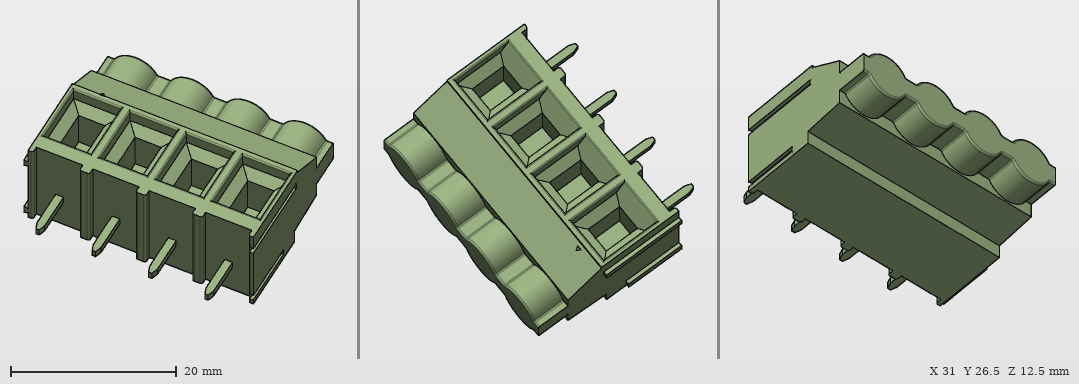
import cadquery as cq


TERMINALS = 4
OVERALL_LENGTH = 31.03
RIB_PROTRUSION = 0.55
BODY_LENGTH = OVERALL_LENGTH - RIB_PROTRUSION
PITCH = BODY_LENGTH / TERMINALS
OVERALL_DEPTH = 26.5
HEIGHT = 12.5

PIN_LENGTH = 5.03
PIN_WIDTH = 1.05
PIN_TIP_WIDTH = 0.45
PIN_TIP_LENGTH = 0.87
PIN_BOTTOM = 4.13
PIN_TOP = 5.1

BODY_DEPTH = OVERALL_DEPTH - PIN_LENGTH
SHOULDER_Y = 16.95
TOP_EDGE_Y = 11.82
TOP_STEP = 0.35
SHOULDER_TOP = 9.55
SHOULDER_BOTTOM = 2.48
HEEL_Y = 11.05
HEEL_TOP = 2.0

BARREL_RADIUS = 3.25
BARREL_Z = 6.05
WEB_HEIGHT = 2.95
WEB_FILLET = 0.25
REAR_FILLET = 0.25

FOOT_HEIGHT = 0.9
FOOT_WIDTH = 1.35
FOOT_FILLET = 0.3

THROAT_FRONT_Y = 2.82
THROAT_BACK_Y = 11.02
THROAT_WIDTH = 6.4
RIM_FILLET = 0.22
FUNNEL_TOP_DEPTH = 1.68
FUNNEL_BOTTOM_DEPTH = 2.48
WIRE_HOLE_FRONT_Y = 4.75
WIRE_HOLE_BACK_Y = 9.53
WIRE_HOLE_WIDTH = 3.55

DOVETAILS = [
    (9.93, 0.8, 1.05, 11.48),
    (1.18, 0.8, 1.18, 8.1),
]

MARK_WIDTH = 0.62
MARK_HEIGHT = 0.5
MARK_Y = 12.25
MARK_DEPTH = 0.1

SELECTION_MARGIN = 0.03


def box(x0, x1, y0, y1, z0, z1):
    """Axis-aligned box between two opposite corners."""
    block = cq.Workplane("XY").box(x1 - x0, y1 - y0, z1 - z0, centered=False)
    return block.translate((x0, y0, z0))


def make_housing():
    """Main body: the side profile swept along the row."""
    profile = [
        (0, 0),
        (HEEL_Y, 0),
        (HEEL_Y, HEEL_TOP),
        (SHOULDER_Y, SHOULDER_BOTTOM),
        (SHOULDER_Y, SHOULDER_TOP),
        (TOP_EDGE_Y, HEIGHT - TOP_STEP),
        (TOP_EDGE_Y, HEIGHT),
        (0, HEIGHT),
    ]
    return cq.Workplane("YZ").polyline(profile).close().extrude(BODY_LENGTH)


def make_barrels(centres):
    """Row of screw barrels and the web between them, rounded at the rear."""
    length = BODY_DEPTH - SHOULDER_Y
    web_bottom = BARREL_Z - WEB_HEIGHT / 2
    row = box(0, BODY_LENGTH, SHOULDER_Y, BODY_DEPTH, web_bottom, web_bottom + WEB_HEIGHT)
    for x in centres:
        barrel_base = cq.Workplane("XZ", origin=(x, SHOULDER_Y, BARREL_Z))
        barrel = barrel_base.circle(BARREL_RADIUS).extrude(-length)
        row = row.union(barrel)
    inner_edges = cq.selectors.BoxSelector(
        (SELECTION_MARGIN, 0, 0),
        (BODY_LENGTH - SELECTION_MARGIN, BODY_DEPTH, HEIGHT),
    )
    row = row.edges("|Y").edges(inner_edges).fillet(WEB_FILLET)
    return row.faces(">Y").edges("not |Z").fillet(REAR_FILLET)


def cut_foot_gap(body, x):
    """Recess the front face between two feet, rounding the feet's corners."""
    half_gap = (PITCH - FOOT_WIDTH) / 2
    r = FOOT_FILLET
    gap = (
        cq.Workplane("XY")
        .moveTo(x - half_gap - r, 0)
        .radiusArc((x - half_gap, r), -r)
        .lineTo(x - half_gap, FOOT_HEIGHT)
        .lineTo(x + half_gap, FOOT_HEIGHT)
        .lineTo(x + half_gap, r)
        .radiusArc((x + half_gap + r, 0), -r)
        .close()
        .extrude(HEIGHT)
    )
    return body.cut(gap)


def opening_layer(x, width, front_y, back_y, depth):
    """Rectangular cross-section of a wire opening, as a wire at a given depth."""
    z = HEIGHT - depth
    x0 = x - width / 2
    x1 = x + width / 2
    corners = [(x0, front_y, z), (x1, front_y, z), (x1, back_y, z), (x0, back_y, z)]
    return cq.Wire.makePolygon([cq.Vector(*c) for c in corners], close=True)


def make_opening(x):
    """Wire opening: straight throat, funnel and blind wire hole."""
    slope = (WIRE_HOLE_FRONT_Y - THROAT_FRONT_Y) / FUNNEL_BOTTOM_DEPTH
    funnel_front_y = THROAT_FRONT_Y + slope * FUNNEL_TOP_DEPTH
    hole = (WIRE_HOLE_WIDTH, WIRE_HOLE_FRONT_Y, WIRE_HOLE_BACK_Y)
    layers = [
        opening_layer(x, THROAT_WIDTH, THROAT_FRONT_Y, THROAT_BACK_Y, 0),
        opening_layer(x, THROAT_WIDTH, funnel_front_y, THROAT_BACK_Y, FUNNEL_TOP_DEPTH),
        opening_layer(x, *hole, FUNNEL_BOTTOM_DEPTH),
        opening_layer(x, *hole, HEIGHT - PIN_TOP),
    ]
    opening = cq.Workplane("XY")
    for upper, lower in zip(layers, layers[1:]):
        opening = opening.union(cq.Workplane(cq.Solid.makeLoft([upper, lower], True)))
    return opening


def round_rim(body, x):
    """Round the rim of a wire opening where it meets the top face."""
    margin = SELECTION_MARGIN
    rim = cq.selectors.BoxSelector(
        (x - THROAT_WIDTH / 2 - margin, THROAT_FRONT_Y - margin, HEIGHT - margin),
        (x + THROAT_WIDTH / 2 + margin, THROAT_BACK_Y + margin, HEIGHT + margin),
    )
    return body.edges(rim).fillet(RIM_FILLET)


def make_pin(x):
    """Solder pin with a tapered tip, its root sunk into the front face."""
    outline = [
        (x - PIN_WIDTH / 2, FOOT_HEIGHT),
        (x - PIN_WIDTH / 2, PIN_TIP_LENGTH - PIN_LENGTH),
        (x - PIN_TIP_WIDTH / 2, -PIN_LENGTH),
        (x + PIN_TIP_WIDTH / 2, -PIN_LENGTH),
        (x + PIN_WIDTH / 2, PIN_TIP_LENGTH - PIN_LENGTH),
        (x + PIN_WIDTH / 2, FOOT_HEIGHT),
    ]
    pin = cq.Workplane("XY").polyline(outline).close().extrude(PIN_TOP - PIN_BOTTOM)
    return pin.translate((0, 0, PIN_BOTTOM))


def make_dovetail(root_x, centre_z, root_width, tip_width, length):
    """Dovetail bar projecting to -X from the plane X = root_x."""
    tip_x = root_x - RIB_PROTRUSION
    section = [
        (root_x, centre_z - root_width / 2),
        (tip_x, centre_z - tip_width / 2),
        (tip_x, centre_z + tip_width / 2),
        (root_x, centre_z + root_width / 2),
    ]
    return cq.Workplane("XZ").polyline(section).close().extrude(-length)


def make_mark(x):
    """Triangular prism, half sunk into the sloping top, that engraves the mark."""
    fall = (HEIGHT - TOP_STEP - SHOULDER_TOP) / (SHOULDER_Y - TOP_EDGE_Y)
    floor_z = HEIGHT - TOP_STEP - fall * (MARK_Y - TOP_EDGE_Y) - MARK_DEPTH
    plane = cq.Plane(origin=(x, MARK_Y, floor_z), xDir=(1, 0, 0), normal=(0, fall, 1))
    corners = [(-MARK_WIDTH / 2, 0), (MARK_WIDTH / 2, 0), (0, MARK_HEIGHT)]
    return cq.Workplane(plane).polyline(corners).close().extrude(MARK_DEPTH * 2)


terminal_centres = [PITCH * (i + 0.5) for i in range(TERMINALS)]

result = make_housing().union(make_barrels(terminal_centres))
for centre in terminal_centres:
    result = cut_foot_gap(result, centre)
    result = result.cut(make_opening(centre))
    result = round_rim(result, centre)
    result = result.union(make_pin(centre))
for dovetail in DOVETAILS:
    result = result.union(make_dovetail(0, *dovetail))
    result = result.cut(make_dovetail(BODY_LENGTH, *dovetail))
result = result.cut(make_mark(terminal_centres[0]))